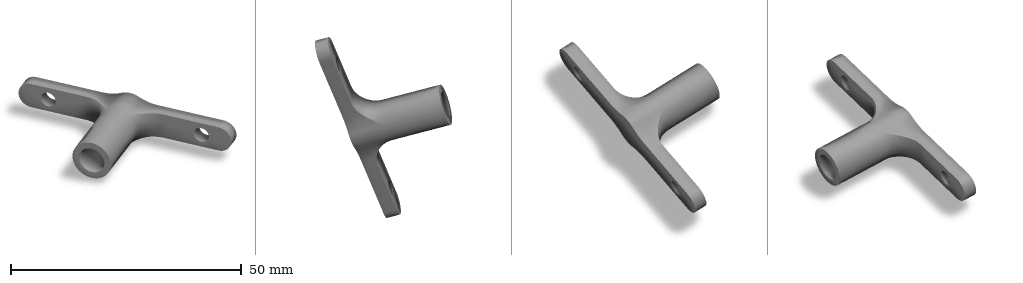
import cadquery as cq
import math

bar_length = 50.0
bar_width = 6.0
bar_thickness = 3.0
bar_end_radius = bar_width / 2
hole_diameter = 3.5
hole_spacing = 36.0

tube_diameter = 9.0
tube_radius = tube_diameter / 2
overall_depth = 21.5
bore_diameter = 6.0
bore_depth = overall_depth - bar_thickness

edge_blend_radius = 10.0
face_blend_radius = 5.0

blend_center_z = bar_width / 2 + edge_blend_radius
blend_center_distance = tube_radius + edge_blend_radius
blend_center_x = math.sqrt(blend_center_distance**2 - blend_center_z**2)
touch_x = blend_center_x * tube_radius / blend_center_distance
touch_z = blend_center_z * tube_radius / blend_center_distance

angle_to_tube = math.atan2(touch_z - blend_center_z, touch_x - blend_center_x)
middle_angle = (angle_to_tube - math.pi / 2) / 2
middle_x = blend_center_x + edge_blend_radius * math.cos(middle_angle)
middle_z = blend_center_z + edge_blend_radius * math.sin(middle_angle)


def bar_prism(depth):
    """Blended bar outline extruded from the back plane toward -Y."""
    half_width = bar_width / 2
    end_center_x = bar_length / 2 - bar_end_radius
    return (
        cq.Workplane("XZ")
        .moveTo(-end_center_x, half_width)
        .lineTo(-blend_center_x, half_width)
        .threePointArc((-middle_x, middle_z), (-touch_x, touch_z))
        .threePointArc((0, tube_radius), (touch_x, touch_z))
        .threePointArc((middle_x, middle_z), (blend_center_x, half_width))
        .lineTo(end_center_x, half_width)
        .threePointArc((bar_length / 2, 0), (end_center_x, -half_width))
        .lineTo(blend_center_x, -half_width)
        .threePointArc((middle_x, -middle_z), (touch_x, -touch_z))
        .threePointArc((0, -tube_radius), (-touch_x, -touch_z))
        .threePointArc((-middle_x, -middle_z), (-blend_center_x, -half_width))
        .lineTo(-end_center_x, -half_width)
        .threePointArc((-bar_length / 2, 0), (-end_center_x, half_width))
        .close()
        .extrude(depth)
    )


def face_blend():
    """Flared collar around the tube, trimmed to the bar outline."""
    flare_radius = tube_radius + face_blend_radius
    flare_top = bar_thickness + face_blend_radius
    arc_offset = face_blend_radius * math.sqrt(0.5)
    flare = (
        cq.Workplane("XY")
        .lineTo(flare_radius, 0)
        .lineTo(flare_radius, -bar_thickness)
        .threePointArc(
            (flare_radius - arc_offset, -flare_top + arc_offset),
            (tube_radius, -flare_top),
        )
        .lineTo(0, -flare_top)
        .close()
        .revolve(360, (0, 0, 0), (0, 1, 0))
    )
    return flare.intersect(bar_prism(flare_top))


tube = cq.Workplane("XZ").circle(tube_radius).extrude(overall_depth)
bore = (
    cq.Workplane("XZ", origin=(0, -overall_depth, 0))
    .circle(bore_diameter / 2)
    .extrude(-bore_depth)
)
mounting_holes = (
    cq.Workplane("XZ")
    .pushPoints([(-hole_spacing / 2, 0), (hole_spacing / 2, 0)])
    .circle(hole_diameter / 2)
    .extrude(bar_thickness)
)

result = bar_prism(bar_thickness).union(face_blend()).union(tube).cut(bore).cut(mounting_holes)